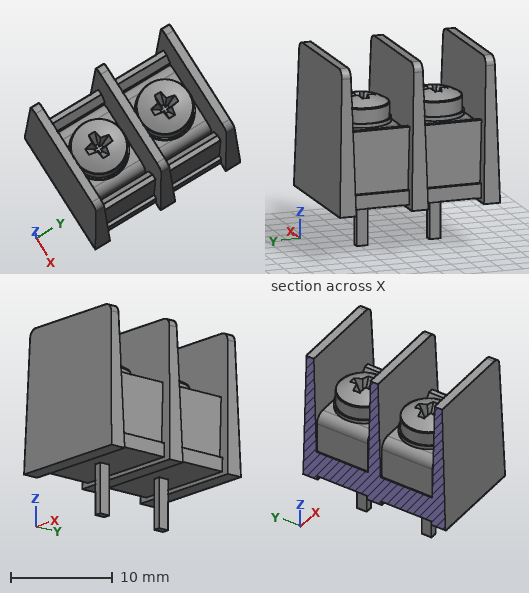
import cadquery as cq


BARRIER_COUNT = 3
BARRIER_PITCH = 7.52
BARRIER_BOTTOM_LENGTH = 13.22
BARRIER_TOP_LENGTH = 12.18
BARRIER_BOTTOM_THICKNESS = 1.7
BARRIER_TOP_THICKNESS = 0.92
BARRIER_BOTTOM_Z = 4.78
BARRIER_TOP_Z = 19.59
BARRIER_CORNER_RADIUS = 0.88

BASE_WIDTH = 11.48
BASE_BOTTOM_Z = 5.21
BASE_TOP_Z = 6.66
WALL_OUTER_WIDTH = 10.65
WALL_TOP_Z = 13.0
CHANNEL_WIDTH = 8.15
CHANNEL_FLOOR_Z = 8.23
CHANNEL_CHAMFER_WIDTH = 0.69
CHANNEL_CHAMFER_HEIGHT = 0.92

POLE_COUNT = BARRIER_COUNT - 1
POLE_PITCH = 7.6
POLE_X = -0.12

CLAMP_WIDTH = 7.75
CLAMP_LENGTH = 5.92
CLAMP_EDGE_RADIUS = 1.02
CLAMP_TOP_Z = 12.67

FLANGE_RADIUS = 2.98
FLANGE_TOP_Z = 13.07
HEAD_RADIUS = 2.8
HEAD_SIDE_TOP_Z = 14.5
DOME_RADIUS = 2.75
DOME_BOTTOM_Z = 14.63
DOME_TOP_Z = 15.44

RECESS_TOP = (1.47, 0.37, 0.5)
RECESS_BOTTOM = (0.43, 0.15, 0.14)
RECESS_BOTTOM_Z = 13.62

PIN_WIDTH = 0.78
PIN_LENGTH = 1.15

BLOCK_LENGTH = (BARRIER_COUNT - 1) * BARRIER_PITCH


def row_positions(count, pitch):
    """Places along Y of a row centred on the origin."""
    return [(i - (count - 1) / 2) * pitch for i in range(count)]


def make_barrier(y):
    barrier = (
        cq.Workplane("XY", origin=(0, y, BARRIER_BOTTOM_Z))
        .rect(BARRIER_BOTTOM_LENGTH, BARRIER_BOTTOM_THICKNESS)
        .workplane(offset=BARRIER_TOP_Z - BARRIER_BOTTOM_Z)
        .rect(BARRIER_TOP_LENGTH, BARRIER_TOP_THICKNESS)
        .loft(ruled=True)
    )
    return barrier.faces(">Z").edges("|Y").fillet(BARRIER_CORNER_RADIUS)


def make_trough():
    """Base and side walls as one section, running from the first barrier to the last."""
    base_x = BASE_WIDTH / 2
    wall_x = WALL_OUTER_WIDTH / 2
    channel_x = CHANNEL_WIDTH / 2
    chamfer_x = channel_x + CHANNEL_CHAMFER_WIDTH
    right_side = [
        (base_x, BASE_BOTTOM_Z),
        (base_x, BASE_TOP_Z),
        (wall_x, BASE_TOP_Z),
        (wall_x, WALL_TOP_Z),
        (chamfer_x, WALL_TOP_Z),
        (channel_x, WALL_TOP_Z - CHANNEL_CHAMFER_HEIGHT),
        (channel_x, CHANNEL_FLOOR_Z),
    ]
    left_side = [(-x, z) for x, z in reversed(right_side)]
    return (
        cq.Workplane("XZ")
        .polyline(right_side + left_side)
        .close()
        .extrude(BLOCK_LENGTH / 2, both=True)
    )


def make_housing():
    housing = make_trough()
    for y in row_positions(BARRIER_COUNT, BARRIER_PITCH):
        housing = housing.union(make_barrier(y))
    for y in row_positions(POLE_COUNT, POLE_PITCH):
        housing = housing.cut(make_pin(y))
    return housing


def make_clamp(y):
    clamp = cq.Workplane("XY", origin=(POLE_X, y, CHANNEL_FLOOR_Z)).box(
        CLAMP_WIDTH, CLAMP_LENGTH, CLAMP_TOP_Z - CHANNEL_FLOOR_Z, centered=(True, True, False)
    )
    return clamp.faces(">Z").edges("|Y").fillet(CLAMP_EDGE_RADIUS)


def cross_outline(arm_length, arm_half_width, inner_corner):
    """Four-armed outline, made of one quarter turned about the centre."""
    quarter = [
        (arm_length, -arm_half_width),
        (arm_length, arm_half_width),
        (inner_corner, inner_corner),
    ]
    points = []
    for _ in range(4):
        points += quarter
        quarter = [(-y, x) for x, y in quarter]
    return points


def make_cross_recess():
    return (
        cq.Workplane("XY", origin=(0, 0, RECESS_BOTTOM_Z))
        .polyline(cross_outline(*RECESS_BOTTOM))
        .close()
        .workplane(offset=DOME_TOP_Z - RECESS_BOTTOM_Z)
        .polyline(cross_outline(*RECESS_TOP))
        .close()
        .loft(ruled=True)
    )


def make_screw(y):
    """Flanged domed head, turned about Z, with a cross recess."""
    dome_height = DOME_TOP_Z - DOME_BOTTOM_Z
    sphere_radius = (DOME_RADIUS**2 + dome_height**2) / (2 * dome_height)
    middle_r = DOME_RADIUS / 2
    middle_z = DOME_TOP_Z - sphere_radius + (sphere_radius**2 - middle_r**2) ** 0.5
    head = (
        cq.Workplane("XZ")
        .moveTo(0, CLAMP_TOP_Z)
        .lineTo(FLANGE_RADIUS, CLAMP_TOP_Z)
        .lineTo(FLANGE_RADIUS, FLANGE_TOP_Z)
        .lineTo(HEAD_RADIUS, FLANGE_TOP_Z)
        .lineTo(HEAD_RADIUS, HEAD_SIDE_TOP_Z)
        .lineTo(DOME_RADIUS, DOME_BOTTOM_Z)
        .threePointArc((middle_r, middle_z), (0, DOME_TOP_Z))
        .close()
        .revolve(360, (0, 0, 0), (0, 1, 0))
    )
    return head.cut(make_cross_recess()).translate((POLE_X, y, 0))


def make_pin(y):
    """Pin that passes through the base up to the underside of the clamp."""
    return cq.Workplane("XY", origin=(POLE_X, y, 0)).box(
        PIN_WIDTH, PIN_LENGTH, CHANNEL_FLOOR_Z, centered=(True, True, False)
    )


housing = make_housing()
pole_places = row_positions(POLE_COUNT, POLE_PITCH)
clamps = [make_clamp(y).val() for y in pole_places]
screws = [make_screw(y).val() for y in pole_places]
pins = [make_pin(y).val() for y in pole_places]

result = cq.Compound.makeCompound([housing.solids().val(), *clamps, *screws, *pins])